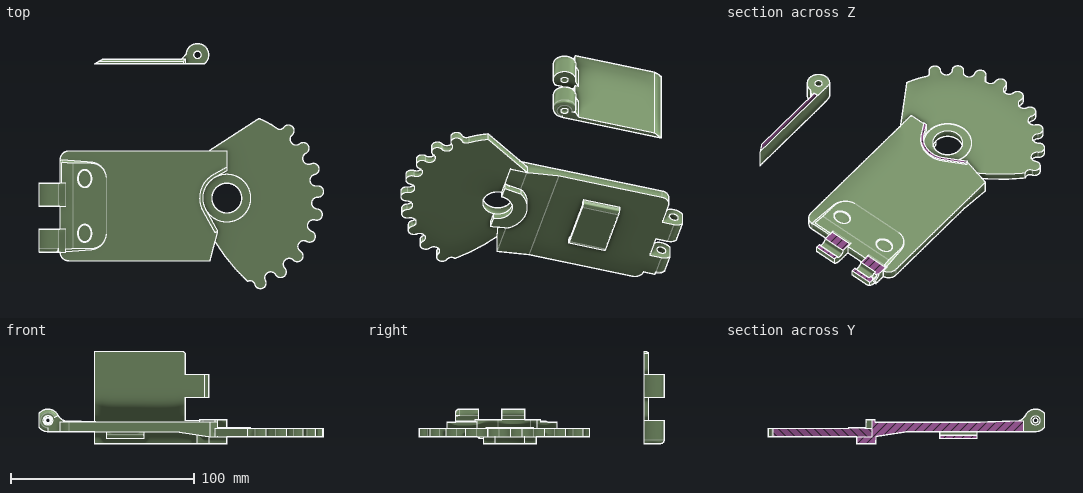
import cadquery as cq
import math


bore_diameter = 16.1
hub_radius = 13.0
gear_bottom = 3.7
gear_thickness = 4.7
gear_top = gear_bottom + gear_thickness
ring_height = 0.5

arm_left = -91.0
arm_front = -34.3
arm_back = 25.8
arm_bottom = 6.5
arm_top = 11.8
arm_corner_radius = 5.0
slope_start = -27.5
slope_end = -9.3
arm_tip = (-9.2, arm_front)
arm_mid_y = (arm_front + arm_back) / 2

lip_thickness = 1.7
lip_height = 1.4
lip_turn = 29.0
lip_leg = 13.3

boss_radius = 16.1
boss_side_y = 12.9
boss_end_y = 14.5

strap_left = -65.6
strap_length = 20.5
strap_width = 30.7
strap_mid_y = -2.8
strap_depth = 3.7
strap_wall = 1.9
strap_side_wall = 2.3
strap_round = 2.3

pad_right = -65.6
pad_crest = -83.8
pad_height = 0.6
pad_half_width = 23.3
pad_corner_radius = 8.4
pad_edge_inset = 1.4
dimple_x = -77.5
dimple_pitch = 29.8
dimple_half_length = 3.9
dimple_half_width = 5.0
dimple_depth = 0.5
dimple_taper = 40

knuckle_radius = 6.2
knuckle_flat = 5.0
knuckle_length = 12.7
knuckle_pitch = 25.1
knuckle_round = 2.2
pin_diameter = 3.9
arm_bore_diameter = 5.0
end_hole_diameter = 2.5
end_sink_diameter = 5.3
end_sink_depth = 0.6
end_wall = 2.5

arm_knuckle_x = -97.5
arm_knuckle_z = arm_bottom + knuckle_radius
arm_knuckle_front = -29.6
fairing_length = 3.0
fairing_middle = 1.0
fairing_crown_angle = 65.0

leaf_left = -72.2
leaf_right = -22.5
leaf_front = 73.1
leaf_thickness = 2.6
leaf_height = 50.3
leaf_taper = 4.5
leaf_corner = 1.1
leaf_edge_drop = 0.6
leaf_edge_depth = 1.4
leaf_knuckle_x = -16.0
leaf_knuckle_y = leaf_front + knuckle_flat
leaf_fairing_foot = 8.7
leaf_fairing_rise = 2.8

tooth_count = 9
first_tooth_angle = 47.6
tooth_pitch = 14.5
tooth_pitch_radius = 49.7
tooth_half_height = 3.3
rim_radius = 46.9
rim_start_angle = 68.0
rim_end_angle = -76.0
rim_blend_angle = 3.6
rim_blend_sag = 0.8
gear_edge_x = -9.8
gear_back_middle = (0.6, -33.8)
gear_back_end_y = -23.7


def polar(radius, angle):
    a = math.radians(angle)
    return (radius * math.cos(a), radius * math.sin(a))


def lip_points(radius):
    """End on the pivot plane, arc start, arc middle, arc end and lower end of the lip line."""
    upper = (0, radius / math.cos(math.radians(lip_turn)))
    arc_start = polar(radius, 90 + lip_turn)
    arc_middle = polar(radius, 135 + lip_turn)
    arc_end = polar(radius, 180 + lip_turn)
    leg = polar(lip_leg, lip_turn - 90)
    lower = (arc_end[0] + leg[0], arc_end[1] + leg[1])
    return upper, arc_start, arc_middle, arc_end, lower


lip_upper, lip_arc_start, lip_arc_middle, lip_arc_end, lip_lower = lip_points(hub_radius)


def end_edge_x(y):
    """X of the slanted arm end, between the arm tip and the lower end of the lip."""
    share = (y - arm_tip[1]) / (lip_lower[1] - arm_tip[1])
    return arm_tip[0] + share * (lip_lower[0] - arm_tip[0])


def arm_blank(bottom, top):
    return (
        cq.Workplane("XY", origin=(0, 0, bottom))
        .moveTo(arm_left, arm_front)
        .lineTo(*arm_tip)
        .lineTo(*lip_lower)
        .lineTo(*lip_arc_end)
        .threePointArc(lip_arc_middle, lip_arc_start)
        .lineTo(*lip_upper)
        .lineTo(0, arm_back)
        .lineTo(arm_left, arm_back)
        .close()
        .extrude(top - bottom)
    )


def arm_plate():
    plate = arm_blank(gear_bottom, arm_top).edges("|Z and <X").fillet(arm_corner_radius)
    side = (
        cq.Workplane("XZ", origin=(0, arm_front, 0))
        .moveTo(arm_left, arm_top)
        .lineTo(arm_left, arm_bottom)
        .lineTo(slope_start, arm_bottom)
        .lineTo(slope_end, gear_bottom)
        .lineTo(0, gear_bottom)
        .lineTo(0, arm_top)
        .close()
        .extrude(arm_front - arm_back)
    )
    return plate.intersect(side)


def lip():
    upper, arc_start, arc_middle, arc_end, lower = lip_points(hub_radius + lip_thickness)
    band = (
        cq.Workplane("XY", origin=(0, 0, arm_bottom))
        .moveTo(*lip_upper)
        .lineTo(*lip_arc_start)
        .threePointArc(lip_arc_middle, lip_arc_end)
        .lineTo(*lip_lower)
        .lineTo(*lower)
        .lineTo(*arc_end)
        .threePointArc(arc_middle, arc_start)
        .lineTo(*upper)
        .close()
        .extrude(arm_top + lip_height - arm_bottom)
    )
    return band.intersect(arm_blank(arm_bottom, arm_top + lip_height))


def boss_blank(height):
    side_x = -math.sqrt(boss_radius**2 - boss_side_y**2)
    return (
        cq.Workplane("XY")
        .moveTo(0, -boss_end_y)
        .lineTo(side_x, -boss_side_y)
        .threePointArc((-boss_radius, 0), (side_x, boss_side_y))
        .lineTo(0, boss_end_y)
        .close()
        .extrude(height)
    )


def boss():
    """Half-round support: a full-height rim under the arm, and a floor under the gear hub."""
    floor = boss_blank(gear_bottom)
    rim = boss_blank(arm_bottom).intersect(arm_blank(0, arm_bottom))
    bore = cq.Workplane("XY").circle(bore_diameter / 2).extrude(gear_bottom)
    return floor.union(rim).cut(bore)


def strap():
    plane = cq.Plane(origin=(strap_left, strap_mid_y, arm_bottom), xDir=(0, 1, 0), normal=(1, 0, 0))
    outer = (
        cq.Workplane(plane)
        .center(0, -strap_depth / 2)
        .rect(strap_width, strap_depth)
        .extrude(strap_length)
        .edges("|X and <Z")
        .fillet(strap_round)
    )
    opening_depth = strap_depth - strap_wall
    opening = (
        cq.Workplane(plane)
        .center(0, -opening_depth / 2)
        .rect(strap_width - 2 * strap_side_wall, opening_depth)
        .extrude(strap_length)
    )
    return outer.cut(opening)


def pad():
    """Low wedge with flared sides: flat near the hinge, then sloping down into the arm."""
    slope = pad_height / (pad_right - pad_crest)
    pad_left = arm_left + pad_edge_inset
    length = pad_right - pad_left
    sink = 2 * pad_height
    flare = math.degrees(math.atan(pad_edge_inset / pad_height))
    plane = cq.Plane(origin=(pad_right, arm_mid_y, arm_top), xDir=(-1, 0, slope), normal=(-slope, 0, -1))
    wedge = (
        cq.Workplane(plane)
        .moveTo(0, 0)
        .lineTo(0, pad_half_width - pad_corner_radius)
        .tangentArcPoint((pad_corner_radius, pad_half_width), relative=False)
        .lineTo(length, pad_half_width)
        .lineTo(length, -pad_half_width)
        .lineTo(pad_corner_radius, -pad_half_width)
        .tangentArcPoint((0, pad_corner_radius - pad_half_width), relative=False)
        .close()
        .extrude(sink, taper=-flare)
    )
    limit = (
        cq.Workplane("XY", origin=(arm_left, arm_mid_y, arm_top - pad_height))
        .box(2 * length, 4 * pad_half_width, 2 * pad_height, centered=(False, True, False))
    )
    dimples = (
        cq.Workplane(plane)
        .pushPoints([(pad_right - dimple_x, side * dimple_pitch / 2) for side in (-1, 1)])
        .ellipse(dimple_half_length, dimple_half_width)
        .extrude(dimple_depth, taper=dimple_taper)
    )
    return wedge.intersect(limit), dimples


def pad_bridge():
    """Carries the pad's flat top out to the arm's left edge between the two knuckles."""
    gap_front = arm_knuckle_front + knuckle_length
    return (
        cq.Workplane("XY", origin=(arm_left, gap_front, arm_top))
        .box(2 * pad_edge_inset, knuckle_pitch - knuckle_length, pad_height, centered=False)
    )


def knuckle(plane, rounded):
    """Barrel along the plane's normal with a flat on its -y side; a rounded one has its start rounded."""
    barrel = cq.Workplane(plane).circle(knuckle_radius).extrude(knuckle_length)
    if rounded:
        start = cq.selectors.DirectionMinMaxSelector(plane.zDir, False)
        barrel = barrel.faces(start).edges().fillet(knuckle_round)
    keep = (
        cq.Workplane(plane)
        .center(0, (knuckle_radius - knuckle_flat) / 2)
        .rect(2 * knuckle_radius, knuckle_radius + knuckle_flat)
        .extrude(knuckle_length)
    )
    return barrel.intersect(keep)


def arm_knuckle(front, rounded):
    plane = cq.Plane(origin=(arm_knuckle_x, front, arm_knuckle_z), xDir=(0, 0, 1), normal=(0, 1, 0))
    reach = arm_left - arm_knuckle_x
    pad_level = arm_top + pad_height - arm_knuckle_z
    foot = (pad_level, reach + fairing_length)
    crown = polar(knuckle_radius, fairing_crown_angle)
    stem = (
        cq.Workplane(plane)
        .moveTo(-knuckle_radius, 0)
        .lineTo(-knuckle_radius, reach)
        .lineTo(pad_level - pad_height, reach)
        .lineTo(pad_level - pad_height, foot[1])
        .lineTo(*foot)
        .threePointArc((pad_level + fairing_middle, reach + fairing_middle), crown)
        .lineTo(0, 0)
        .close()
        .extrude(knuckle_length)
    )
    body = knuckle(plane, rounded).union(stem)
    if not rounded:
        return body.cut(cq.Workplane(plane).circle(arm_bore_diameter / 2).extrude(knuckle_length))
    end_hole = cq.Workplane(plane).circle(end_hole_diameter / 2).extrude(knuckle_length)
    socket = (
        cq.Workplane(plane)
        .workplane(offset=end_wall)
        .circle(arm_bore_diameter / 2)
        .extrude(knuckle_length - end_wall)
    )
    sink = (
        cq.Workplane(plane)
        .circle(end_sink_diameter / 2)
        .workplane(offset=end_sink_depth)
        .circle(pin_diameter / 2)
        .loft()
    )
    return body.cut(end_hole).cut(socket).cut(sink)


def make_arm():
    wedge, dimples = pad()
    arm = arm_plate().union(lip()).union(boss()).union(strap()).union(wedge).cut(dimples).union(pad_bridge())
    for index in range(2):
        arm = arm.union(arm_knuckle(arm_knuckle_front + index * knuckle_pitch, index == 0))
    return arm


def make_gear():
    """Toothed sector against the arm end, with a low ring around the bore."""
    outline = (
        cq.Workplane("XY", origin=(0, 0, gear_bottom))
        .moveTo(gear_edge_x, arm_back)
        .lineTo(*polar(rim_radius, rim_start_angle))
    )
    quarter = tooth_pitch / 4
    first_flank = first_tooth_angle + quarter
    rim_stop = first_flank + rim_blend_angle
    outline = outline.threePointArc(
        polar(rim_radius, (rim_start_angle + rim_stop) / 2), polar(rim_radius, rim_stop)
    )
    blend_radius = (rim_radius + tooth_pitch_radius) / 2 - rim_blend_sag
    outline = outline.threePointArc(
        polar(blend_radius, first_flank + rim_blend_angle / 4), polar(tooth_pitch_radius, first_flank)
    )
    for index in range(tooth_count):
        angle = first_tooth_angle - index * tooth_pitch
        outline = outline.threePointArc(
            polar(tooth_pitch_radius + tooth_half_height, angle), polar(tooth_pitch_radius, angle - quarter)
        )
        if index < tooth_count - 1:
            outline = outline.threePointArc(
                polar(tooth_pitch_radius - tooth_half_height, angle - 2 * quarter),
                polar(tooth_pitch_radius, angle - 3 * quarter),
            )
    last_flank = first_tooth_angle - (tooth_count - 1) * tooth_pitch - quarter
    outline = (
        outline.threePointArc(
            polar(blend_radius, last_flank - rim_blend_angle / 4), polar(rim_radius, rim_end_angle)
        )
        .threePointArc(gear_back_middle, (end_edge_x(gear_back_end_y), gear_back_end_y))
        .lineTo(*lip_lower)
        .lineTo(*lip_arc_end)
        .threePointArc(lip_arc_middle, lip_arc_start)
        .lineTo(*lip_upper)
        .lineTo(0, arm_back)
        .close()
    )
    plate = outline.extrude(gear_thickness)
    ring = cq.Workplane("XY", origin=(0, 0, gear_top)).circle(hub_radius).extrude(ring_height)
    bore = (
        cq.Workplane("XY", origin=(0, 0, gear_bottom))
        .circle(bore_diameter / 2)
        .extrude(gear_thickness + ring_height)
    )
    return plate.union(ring, clean=False).cut(bore, clean=False)


def leaf_knuckle(bottom, rounded):
    plane = cq.Plane(origin=(leaf_knuckle_x, leaf_knuckle_y, bottom), xDir=(1, 0, 0), normal=(0, 0, 1))
    plate_back = leaf_thickness - knuckle_flat
    stem = (
        cq.Workplane(plane)
        .moveTo(0, -knuckle_flat)
        .lineTo(-leaf_fairing_foot, -knuckle_flat)
        .lineTo(-leaf_fairing_foot, plate_back)
        .lineTo(-knuckle_radius, plate_back + leaf_fairing_rise)
        .lineTo(0, 0)
        .close()
        .extrude(knuckle_length)
    )
    hole = cq.Workplane(plane).circle(pin_diameter / 2).extrude(knuckle_length)
    return knuckle(plane, rounded).union(stem).cut(hole)


def make_leaf():
    back = leaf_front + leaf_thickness
    plate = (
        cq.Workplane("XY")
        .moveTo(leaf_left, leaf_front)
        .lineTo(leaf_right, leaf_front)
        .lineTo(leaf_right, back)
        .lineTo(leaf_left + leaf_taper, back)
        .close()
        .extrude(leaf_height)
    )
    plate = plate.edges("|Y and >X and >Z").chamfer(leaf_corner)
    bevel = (
        cq.Workplane("YZ", origin=(leaf_left, 0, 0))
        .moveTo(back, leaf_height - leaf_edge_drop)
        .lineTo(back, leaf_height)
        .lineTo(back - leaf_edge_depth, leaf_height)
        .close()
        .extrude(leaf_right - leaf_left)
    )
    plate = plate.cut(bevel)
    for index in range(2):
        plate = plate.union(leaf_knuckle(index * knuckle_pitch, index == 0))
    return plate


arm = make_arm()
gear = make_gear()
leaf = make_leaf()

result = cq.Compound.makeCompound([body.solids().val() for body in (arm, gear, leaf)])